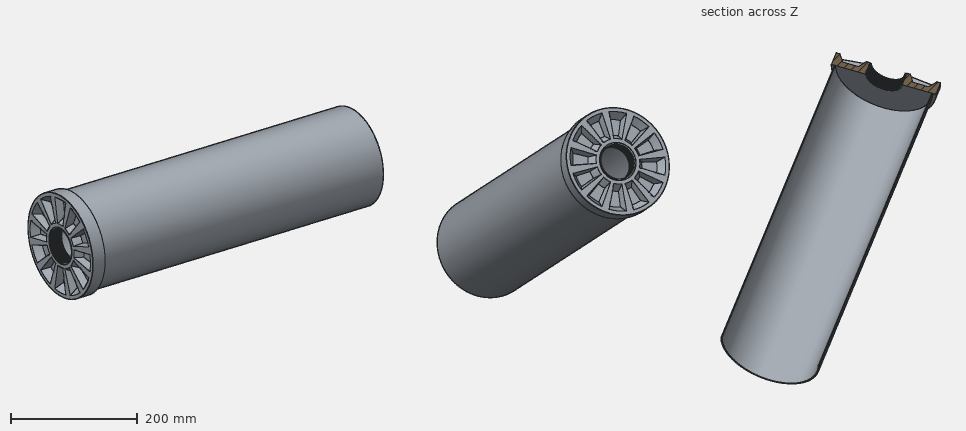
import cadquery as cq
import math

total_length = 571.5
cap_diameter = 175.5
cap_thickness = 24.0
cap_chamfer = 0.5
body_diameter = 165.0
body_inner_diameter = 160.5
bore_diameter = 56.5
front_y = -total_length / 2
cap_back_y = front_y + cap_thickness

window_count = 12
window_step = 360 / window_count
front_inner_radius = 37.0
front_outer_radius = 81.0
floor_inner_radius = 46.0
floor_outer_radius = 71.5
front_half_angle = 10.5
floor_half_angle = 7.6
window_depth = 13.0

thread_crest_radius = bore_diameter / 2
thread_root_radius = 31.0
thread_count = 10
thread_pitch = cap_thickness / thread_count
thread_flat = thread_pitch / 4


def along_axis(start_y):
    """Workplane at the given Y, facing +Y, with local x = X and local y = -Z."""
    return cq.Workplane(cq.Plane(origin=(0, start_y, 0), xDir=(1, 0, 0), normal=(0, 1, 0)))


def make_wedge():
    """Wedge around the +Z direction whose sides close in from the front of the window to its floor."""

    def triangle(half_angle):
        reach = cap_diameter
        half_width = reach * math.tan(math.radians(half_angle))
        return [(0, 0), (half_width, -reach), (-half_width, -reach)]

    wedge = along_axis(front_y).polyline(triangle(front_half_angle)).close()
    wedge = wedge.workplane(offset=window_depth).polyline(triangle(floor_half_angle)).close()
    return wedge.loft(ruled=True)


def make_window():
    """Window cutter with conical inner and outer walls and slanted sides."""
    floor_y = front_y + window_depth
    ring_outline = [
        (front_inner_radius, front_y),
        (front_outer_radius, front_y),
        (floor_outer_radius, floor_y),
        (floor_inner_radius, floor_y),
    ]
    ring = cq.Workplane("XY").polyline(ring_outline).close().revolve(360, (0, 0, 0), (0, 1, 0))
    return ring.intersect(make_wedge())


def make_threaded_bore():
    """Bore cutter with trapezoidal ring grooves along the cap thickness."""
    flank = (thread_pitch - 2 * thread_flat) / 2
    outline = cq.Workplane("XY").moveTo(0, front_y)
    for index in range(thread_count):
        groove_y = front_y + index * thread_pitch
        outline = outline.lineTo(thread_root_radius, groove_y)
        outline = outline.lineTo(thread_root_radius, groove_y + thread_flat)
        outline = outline.lineTo(thread_crest_radius, groove_y + thread_flat + flank)
        outline = outline.lineTo(thread_crest_radius, groove_y + 2 * thread_flat + flank)
    outline = outline.lineTo(thread_root_radius, cap_back_y).lineTo(0, cap_back_y).close()
    return outline.revolve(360, (0, 0, 0), (0, 1, 0))


def make_cap():
    cap = along_axis(front_y).circle(cap_diameter / 2).extrude(cap_thickness)
    cap = cap.faces("<Y").edges().chamfer(cap_chamfer)
    cap = cap.cut(make_threaded_bore())
    window = make_window()
    for index in range(window_count):
        cap = cap.cut(window.rotate((0, 0, 0), (0, 1, 0), index * window_step))
    return cap


def make_body():
    """Thin-walled tube butted against the back of the cap."""
    body = along_axis(cap_back_y).circle(body_diameter / 2).circle(body_inner_diameter / 2)
    return body.extrude(total_length - cap_thickness)


cap = make_cap()
body = make_body()
result = cq.Compound.makeCompound([cap.val(), body.val()])